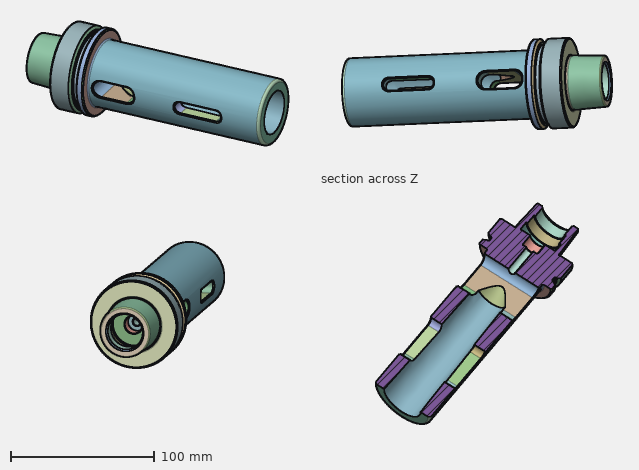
import cadquery as cq
import math

total_length = 185.0
nose_length = 25.0
flange_end = 51.0

nose_front_diameter = 36.0
nose_front_radius = nose_front_diameter / 2
nose_base_radius = 19.2
nose_edge_fillet = 1.0

relief_length = 1.7
relief_depth = 0.2
relief_face_depth = 0.2
relief_inner_radius = 19.6
relief_outer_radius = 20.4

flange_diameter = 63.0
flange_radius = flange_diameter / 2
flange_chamfer = 1.0
groove_floor_radius = 27.4
groove_wall_radius = 29.2
groove_left_edge = 39.8
groove_right_edge = 46.5
groove_flare = 1.5
groove_wall_start = groove_left_edge + groove_flare
groove_wall_end = groove_right_edge - groove_flare
groove_corner_bevel = 0.5

tube_radius = 24.0
tube_root_fillet = 1.0
tube_end_fillet = 2.0

socket_mouth_radius = 13.7
socket_lip_radius = 12.5
socket_mouth_bevel_length = 1.3
socket_lip_end = 9.6
socket_middle_radius = 13.7
socket_middle_end = 17.5
socket_chamber_radius = 14.8
socket_depth = 24.0

counterbore_radius = 6.3
counterbore_depth = 9.2
counterbore_floor = socket_depth + counterbore_depth
passage_radius = 2.8
passage_bevel = 0.4

bore_mouth_radius = 15.7
bore_taper_slope = 0.026
bore_length = 106.4
bore_end_x = total_length - bore_length
bore_end_radius = bore_mouth_radius - bore_length * bore_taper_slope
bore_tip_half_angle = 30
bore_tip_length = (bore_end_radius - passage_radius) / math.tan(math.radians(bore_tip_half_angle))
bore_tip_x = bore_end_x - bore_tip_length

cross_slots = [(71.0, 31.8, 12.0), (136.9, 36.0, 8.3)]
slot_chamfer = 1.0


def revolve_about_axis(outline):
    """Turn an XZ half-outline into a solid of revolution about the X axis."""
    return outline.close().revolve(360, (0, 0, 0), (1, 0, 0))


def outer_body():
    """Nose, flange and tube as one revolved solid, without cavities."""
    nose_slope = (nose_base_radius - nose_front_radius) / nose_length
    relief_start = nose_length - relief_length
    relief_start_radius = nose_front_radius + nose_slope * relief_start
    outline = (
        cq.Workplane("XZ")
        .moveTo(0, 0)
        .lineTo(0, nose_front_radius - nose_edge_fillet)
        .radiusArc((nose_edge_fillet, nose_front_radius), nose_edge_fillet)
        .lineTo(relief_start, relief_start_radius)
        .lineTo(nose_length - relief_length / 2, relief_start_radius - relief_depth)
        .lineTo(nose_length, relief_start_radius - relief_depth)
        .lineTo(nose_length + relief_face_depth, relief_inner_radius)
        .lineTo(nose_length, relief_outer_radius)
        .lineTo(nose_length, flange_radius - flange_chamfer)
        .lineTo(nose_length + flange_chamfer, flange_radius)
        .lineTo(groove_left_edge, flange_radius)
        .lineTo(groove_wall_start, groove_wall_radius)
        .lineTo(groove_wall_start, groove_floor_radius + groove_corner_bevel)
        .lineTo(groove_wall_start + groove_corner_bevel, groove_floor_radius)
        .lineTo(groove_wall_end - groove_corner_bevel, groove_floor_radius)
        .lineTo(groove_wall_end, groove_floor_radius + groove_corner_bevel)
        .lineTo(groove_wall_end, groove_wall_radius)
        .lineTo(groove_right_edge, flange_radius)
        .lineTo(flange_end - flange_chamfer, flange_radius)
        .lineTo(flange_end, flange_radius - flange_chamfer)
        .lineTo(flange_end, tube_radius + tube_root_fillet)
        .radiusArc((flange_end + tube_root_fillet, tube_radius), -tube_root_fillet)
        .lineTo(total_length - tube_end_fillet, tube_radius)
        .radiusArc((total_length, tube_radius - tube_end_fillet), tube_end_fillet)
        .lineTo(total_length, 0)
    )
    return revolve_about_axis(outline)


def cut_slots(body):
    """Cut the round-ended slots through the solid tube and bevel their outer rims."""
    for centre, length, width in cross_slots:
        slot = (
            cq.Workplane("XZ")
            .center(centre, 0)
            .slot2D(length, width)
            .extrude(flange_radius, both=True)
        )
        body = body.cut(slot)
        rim_zone = cq.selectors.BoxSelector(
            (centre - length / 2, -flange_radius, -width),
            (centre + length / 2, flange_radius, width),
        )
        body = body.edges(rim_zone).edges("not |Y").chamfer(slot_chamfer)
    return body


def central_cavity():
    """Nose socket, coolant passage and Morse taper bore as one revolved void."""
    outline = (
        cq.Workplane("XZ")
        .moveTo(0, 0)
        .lineTo(0, socket_mouth_radius)
        .lineTo(socket_mouth_bevel_length, socket_lip_radius)
        .lineTo(socket_lip_end, socket_lip_radius)
        .lineTo(socket_lip_end, socket_middle_radius)
        .lineTo(socket_middle_end, socket_middle_radius)
        .lineTo(socket_middle_end, socket_chamber_radius)
        .lineTo(socket_depth, socket_chamber_radius)
        .lineTo(socket_depth, counterbore_radius + passage_bevel)
        .lineTo(socket_depth + passage_bevel, counterbore_radius)
        .lineTo(counterbore_floor, counterbore_radius)
        .lineTo(counterbore_floor, passage_radius + passage_bevel)
        .lineTo(counterbore_floor + passage_bevel, passage_radius)
        .lineTo(bore_tip_x, passage_radius)
        .lineTo(bore_end_x, bore_end_radius)
        .lineTo(total_length, bore_mouth_radius)
        .lineTo(total_length, 0)
    )
    return revolve_about_axis(outline)


result = cut_slots(outer_body()).cut(central_cavity())